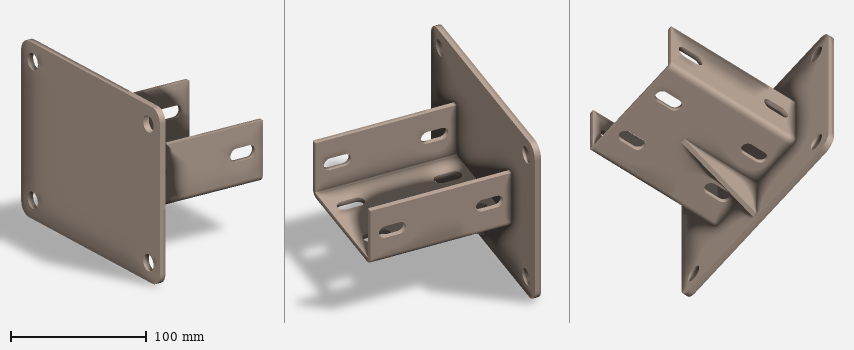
import cadquery as cq

plate_width = 180.0
plate_height = 140.0
plate_thickness = 5.0
plate_corner_radius = 10.0
plate_hole_diameter = 13.3
plate_hole_inset = 15.0

total_depth = 120.0
channel_width = 99.4
channel_height = 49.0
channel_bottom = -26.5
wall_thickness = 4.0
inner_bend_radius = 1.0
outer_bend_radius = inner_bend_radius + wall_thickness
channel_length = total_depth - plate_thickness

slot_length = 22.0
slot_width = 10.5
slot_end_distance = 18.0
floor_slot_spacing = 45.0
slot_positions = (plate_thickness + slot_end_distance, total_depth - slot_end_distance)

gusset_length = 66.8
gusset_drop = 38.5
gusset_thickness = wall_thickness


def make_plate():
    hole_span_x = plate_width - 2 * plate_hole_inset
    hole_span_z = plate_height - 2 * plate_hole_inset
    return (
        cq.Workplane("XZ")
        .rect(plate_width, plate_height)
        .extrude(-plate_thickness)
        .edges("|Y")
        .fillet(plate_corner_radius)
        .faces("<Y")
        .workplane(centerOption="CenterOfBoundBox")
        .rect(hole_span_x, hole_span_z, forConstruction=True)
        .vertices()
        .hole(plate_hole_diameter)
    )


def channel_block(width, bottom, bend_radius):
    """Block as long as the channel, with both lower edges rounded."""
    top = channel_bottom + channel_height
    return (
        cq.Workplane("XY")
        .box(width, channel_length, top - bottom, centered=(True, False, False))
        .translate((0, plate_thickness, bottom))
        .edges("|Y and <Z")
        .fillet(bend_radius)
    )


def make_channel():
    outside = channel_block(channel_width, channel_bottom, outer_bend_radius)
    inside = channel_block(
        channel_width - 2 * wall_thickness, channel_bottom + wall_thickness, inner_bend_radius
    )
    return outside.cut(inside)


def make_floor_slots():
    centers = [(side * floor_slot_spacing / 2, y) for side in (-1, 1) for y in slot_positions]
    return (
        cq.Workplane("XY", origin=(0, 0, channel_bottom))
        .pushPoints(centers)
        .slot2D(slot_length, slot_width, 90)
        .extrude(wall_thickness)
    )


def make_side_slots():
    """Slots level with the plate centre, passing through both side walls."""
    return (
        cq.Workplane("YZ")
        .pushPoints([(y, 0) for y in slot_positions])
        .slot2D(slot_length, slot_width)
        .extrude(channel_width / 2, both=True)
    )


def make_gusset():
    return (
        cq.Workplane("YZ")
        .moveTo(plate_thickness, channel_bottom)
        .lineTo(plate_thickness + gusset_length, channel_bottom)
        .lineTo(plate_thickness, channel_bottom - gusset_drop)
        .close()
        .extrude(gusset_thickness / 2, both=True)
    )


channel = make_channel().cut(make_floor_slots()).cut(make_side_slots())
result = make_plate().union(channel).union(make_gusset())